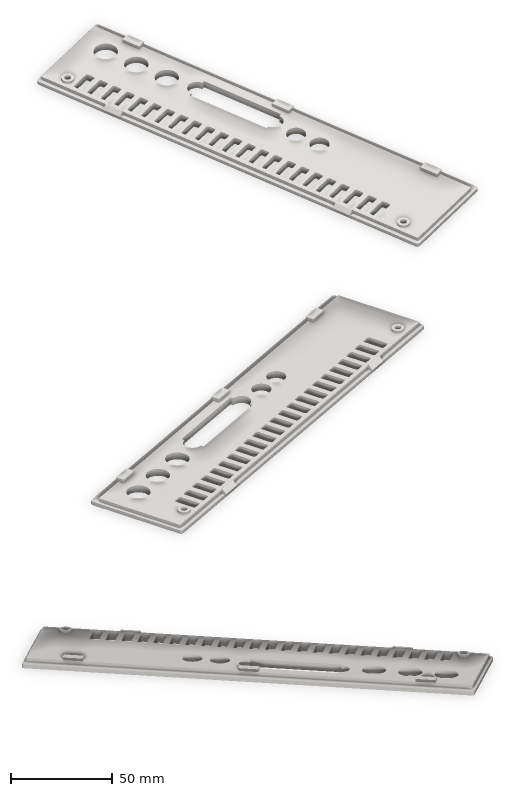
import cadquery as cq

plate_length = 227.0
plate_width = 53.3
layer_thickness = 2.0
corner_radius = 1.4
plate_back = plate_width / 2
plate_front = -plate_width / 2

panel_side_margin = 1.5
panel_front_margin = 2.0
panel_back_margin = 4.0
panel_length = plate_length - 2 * panel_side_margin
panel_front = plate_front + panel_front_margin
panel_back = plate_back - panel_back_margin
panel_top = 2 * layer_thickness

large_hole_diameter = 12.0
large_hole_first_x = -96.5
large_hole_pitch = 18.2
large_hole_count = 3
large_hole_y = plate_front + 35.9
small_hole_diameter = 10.0
small_hole_first_x = 17.3
small_hole_pitch = 13.8
small_hole_count = 2
small_hole_y = plate_front + 35.2

opening_length = 45.9
opening_width = 13.0
opening_lobe_diameter = 9.5
opening_x = -20.5
opening_y = plate_front + 37.5

vent_count = 23
vent_row_length = 176.0
vent_pitch = vent_row_length / (vent_count - 1)
vent_length = 11.8
vent_width = 5.0
vent_corner_radius = 0.8
vent_row_center_x = -4.0
vent_y = plate_front + 10.2

boss_diameter = 6.4
boss_hole_diameter = 3.5
boss_height = 1.4
boss_x = 99.9
boss_y = plate_front + 7.3
boss_points = [(-boss_x, boss_y), (boss_x, boss_y)]

tab_length = 10.0
back_tab_spacing = 88.5
back_tab_middle_x = 0.5
back_tab_height = layer_thickness
back_tab_depth = 3.0
back_tab_overhang = 1.5
front_tab_x = 68.3
front_tab_rise = 1.4
front_tab_overhang = 0.7
front_tab_nose_height = 0.5
front_tab_crest_radius = 0.5

back_tab_profile = [
    (panel_back, panel_top),
    (panel_back + back_tab_overhang, panel_top + back_tab_height),
    (panel_back - back_tab_depth, panel_top + back_tab_height),
    (panel_back - back_tab_depth, panel_top),
]

front_tab_profile = [
    (panel_front, panel_top + front_tab_rise),
    (plate_front - front_tab_overhang, layer_thickness + front_tab_nose_height),
    (plate_front - front_tab_overhang, layer_thickness),
    (panel_front, layer_thickness),
]


def row_points(first_x, pitch, count, y):
    """Evenly spaced points along X."""
    return [(first_x + i * pitch, y) for i in range(count)]


def drill(body, diameter, points):
    """Cut vertical holes through the plate, panel and bosses at the given points."""
    cutter = cq.Workplane("XY").pushPoints(points).circle(diameter / 2).extrude(panel_top + boss_height)
    return body.cut(cutter)


def make_plate():
    base = (
        cq.Workplane("XY")
        .box(plate_length, plate_width, layer_thickness, centered=(True, True, False))
        .edges("|Z")
        .fillet(corner_radius)
    )
    panel = (
        cq.Workplane("XY")
        .center(0, (panel_front + panel_back) / 2)
        .rect(panel_length, panel_back - panel_front)
        .extrude(panel_top)
    )
    return base.union(panel)


def make_opening():
    lobe_x = opening_length / 2
    opening = cq.Workplane("XY").rect(opening_length, opening_width).extrude(panel_top)
    lobes = (
        cq.Workplane("XY")
        .pushPoints([(-lobe_x, 0), (lobe_x, 0)])
        .circle(opening_lobe_diameter / 2)
        .extrude(panel_top)
    )
    return opening.union(lobes).translate((opening_x, opening_y, 0))


def make_vents():
    first_x = vent_row_center_x - vent_row_length / 2
    return (
        cq.Workplane("XY")
        .pushPoints(row_points(first_x, vent_pitch, vent_count, vent_y))
        .rect(vent_width, vent_length)
        .extrude(panel_top)
        .edges("|Z")
        .fillet(vent_corner_radius)
    )


def make_bosses():
    return (
        cq.Workplane("XY")
        .pushPoints(boss_points)
        .circle(boss_diameter / 2)
        .extrude(panel_top + boss_height)
    )


def make_tab(profile, center_x):
    """Extrude a (y, z) profile along X, centred on center_x."""
    return (
        cq.Workplane("YZ")
        .polyline(profile)
        .close()
        .extrude(tab_length / 2, both=True)
        .translate((center_x, 0, 0))
    )


def make_front_tab(center_x):
    """Front wedge with its crest rounded."""
    crest = cq.NearestToPointSelector((center_x, panel_front, panel_top + front_tab_rise))
    return make_tab(front_tab_profile, center_x).edges(crest).fillet(front_tab_crest_radius)


result = make_plate()

for x in (-back_tab_spacing, back_tab_middle_x, back_tab_spacing):
    result = result.union(make_tab(back_tab_profile, x))
for x in (-front_tab_x, front_tab_x):
    result = result.union(make_front_tab(x))

result = result.union(make_bosses())
result = drill(result, boss_hole_diameter, boss_points)

large_holes = row_points(large_hole_first_x, large_hole_pitch, large_hole_count, large_hole_y)
small_holes = row_points(small_hole_first_x, small_hole_pitch, small_hole_count, small_hole_y)
result = drill(result, large_hole_diameter, large_holes)
result = drill(result, small_hole_diameter, small_holes)
result = result.cut(make_opening()).cut(make_vents())